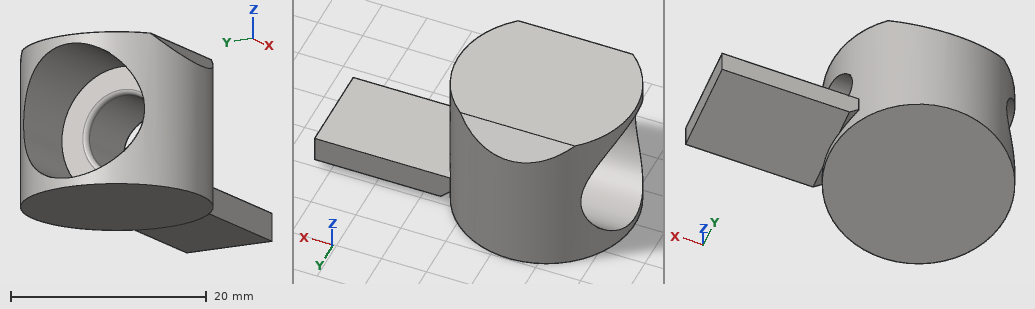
import cadquery as cq

body_diameter = 19.7
body_radius = body_diameter / 2
body_height = 16.0
bore_height = body_height / 2
flat_cut = 2.35

wide_bore_radius = 7.07
narrow_bore_radius = 4.12
shoulder_fillet = 0.5
shoulder_x = 1.17

overall_length = 33.5
tab_end_x = overall_length - body_radius
tab_width = 9.98
tab_thickness = 2.95
tab_bottom = 0.97
tab_top = tab_bottom + tab_thickness
tab_root_x = 8.58
tab_root_chamfer = 1.05


def make_body():
    """Cylinder with a sloping flat on each Y side of its top."""
    body = cq.Workplane("XY").circle(body_radius).extrude(body_height)
    for side in (-1, 1):
        bevel = (
            cq.Workplane("YZ")
            .moveTo(side * body_radius, body_height)
            .lineTo(side * (body_radius - flat_cut), body_height)
            .lineTo(side * body_radius, body_height - flat_cut)
            .close()
            .extrude(body_radius, both=True)
        )
        body = body.cut(bevel)
    return body


def make_tab():
    """Flat bar with a 45 degree chamfer under its inner end."""
    return (
        cq.Workplane("XZ")
        .moveTo(tab_root_x, tab_top)
        .lineTo(tab_end_x, tab_top)
        .lineTo(tab_end_x, tab_bottom)
        .lineTo(tab_root_x + tab_root_chamfer, tab_bottom)
        .lineTo(tab_root_x, tab_bottom + tab_root_chamfer)
        .close()
        .extrude(tab_width / 2, both=True)
    )


def make_bore():
    """Revolved bore: wide part, rounded shoulder edge and narrow through hole."""
    return (
        cq.Workplane("XZ")
        .moveTo(-body_radius, 0)
        .lineTo(-body_radius, wide_bore_radius)
        .lineTo(shoulder_x, wide_bore_radius)
        .lineTo(shoulder_x, narrow_bore_radius + shoulder_fillet)
        .radiusArc((shoulder_x + shoulder_fillet, narrow_bore_radius), -shoulder_fillet)
        .lineTo(body_radius, narrow_bore_radius)
        .lineTo(body_radius, 0)
        .close()
        .revolve(360, (0, 0, 0), (1, 0, 0))
        .translate((0, 0, bore_height))
    )


result = make_body().union(make_tab()).cut(make_bore())